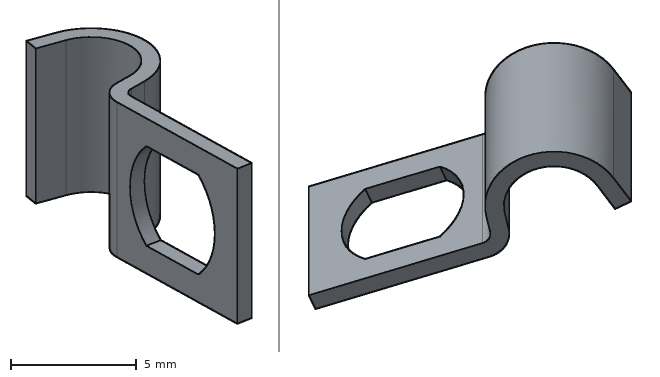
import cadquery as cq
import math

length = 13.7
height = 4.25
width = 7.0
thickness = 0.75

saddle_inner_radius = 2.0
saddle_outer_radius = saddle_inner_radius + thickness
flare_angle = 10.0
free_leg_length = 1.38

bend_inner_radius = 0.5
bend_outer_radius = bend_inner_radius + thickness

hole_length = 5.2
hole_flat_distance = 4.5
hole_arc_radius = 3.0
hole_x = 9.7

flare_cos = math.cos(math.radians(flare_angle))
flare_sin = math.sin(math.radians(flare_angle))

saddle_x = saddle_outer_radius * flare_cos + free_leg_length * flare_sin
saddle_y = height - saddle_outer_radius
saddle_center = (saddle_x, saddle_y)

bend_y = bend_outer_radius
center_distance_along_normal = saddle_outer_radius + bend_inner_radius
bend_x = saddle_x + (center_distance_along_normal - (bend_y - saddle_y) * flare_sin) / flare_cos
bend_center = (bend_x, bend_y)


def on_circle(center, radius, angle):
    """Point on a circle at an angle in degrees from +X."""
    turn = math.radians(angle)
    return (center[0] + radius * math.cos(turn), center[1] + radius * math.sin(turn))


def free_leg_tip(radius):
    """End of the free leg on the face that continues the saddle radius."""
    x, y = on_circle(saddle_center, radius, 180 - flare_angle)
    return (x - free_leg_length * flare_sin, y - free_leg_length * flare_cos)


def make_strip():
    """Bent strip: free leg, saddle, second leg, bend and flat tab."""
    bend_start = 180 + flare_angle
    bend_end = 270
    bend_middle = (bend_start + bend_end) / 2
    return (
        cq.Workplane("XY")
        .moveTo(*free_leg_tip(saddle_outer_radius))
        .lineTo(*on_circle(saddle_center, saddle_outer_radius, 180 - flare_angle))
        .threePointArc(
            on_circle(saddle_center, saddle_outer_radius, 90),
            on_circle(saddle_center, saddle_outer_radius, flare_angle),
        )
        .lineTo(*on_circle(bend_center, bend_inner_radius, bend_start))
        .threePointArc(
            on_circle(bend_center, bend_inner_radius, bend_middle),
            on_circle(bend_center, bend_inner_radius, bend_end),
        )
        .lineTo(length, thickness)
        .lineTo(length, 0)
        .lineTo(*on_circle(bend_center, bend_outer_radius, bend_end))
        .threePointArc(
            on_circle(bend_center, bend_outer_radius, bend_middle),
            on_circle(bend_center, bend_outer_radius, bend_start),
        )
        .lineTo(*on_circle(saddle_center, saddle_inner_radius, flare_angle))
        .threePointArc(
            on_circle(saddle_center, saddle_inner_radius, 90),
            on_circle(saddle_center, saddle_inner_radius, 180 - flare_angle),
        )
        .lineTo(*free_leg_tip(saddle_inner_radius))
        .close()
        .extrude(width)
    )


def make_hole_cutter():
    """Prism along Y with flats above and below and a shallow arc on each side."""
    half_length = hole_length / 2
    half_height = hole_flat_distance / 2
    arc_depth = hole_arc_radius - math.sqrt(hole_arc_radius**2 - half_height**2)
    corner_x = half_length - arc_depth
    return (
        cq.Workplane("XZ", origin=(hole_x, 0, width / 2))
        .moveTo(-corner_x, half_height)
        .lineTo(corner_x, half_height)
        .threePointArc((half_length, 0), (corner_x, -half_height))
        .lineTo(-corner_x, -half_height)
        .threePointArc((-half_length, 0), (-corner_x, half_height))
        .close()
        .extrude(-thickness)
    )


result = make_strip().cut(make_hole_cutter())